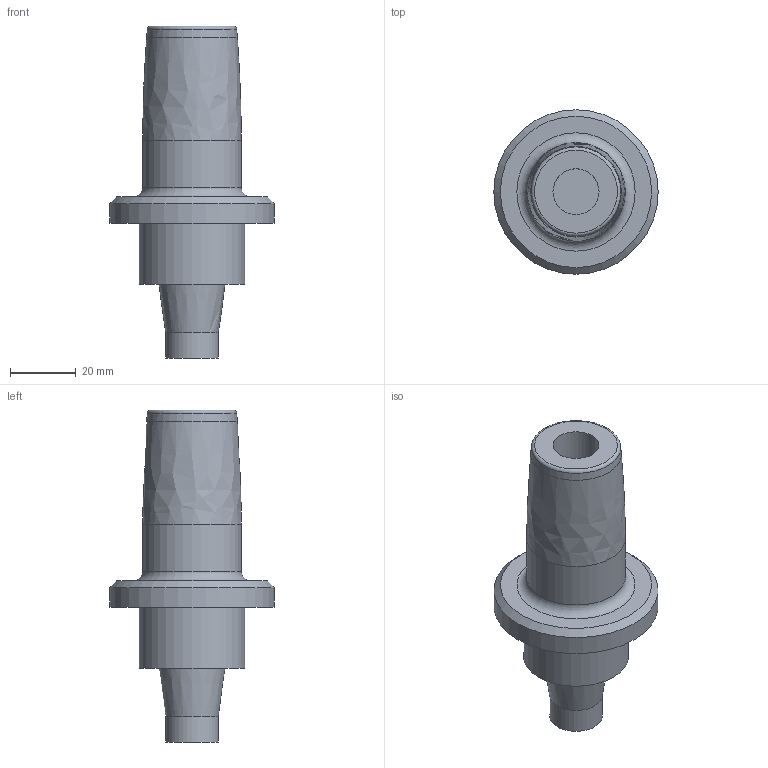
import cadquery as cq
import math

overall_height = 101.0
tip_top = 7.8
body_bottom = 22.5
flange_bottom = 41.0
flange_top = 49.0
barrel_top = 66.3
crown_bottom = 97.6

tip_radius = 16.0 / 2
neck_radius = 20.0 / 2
body_radius = 32.0 / 2
flange_radius = 50.0 / 2
barrel_radius = 30.0 / 2
crown_radius = 27.6 / 2
bore_radius = 14.0 / 2

flange_chamfer = 2.0
root_fillet = 3.0
rim_fillet = 1.0
neck_bulge = 0.1
bore_depth = overall_height - barrel_top


def crowned_side():
    """Return the midpoint and the end slope (dr per dz) of the arc leaving the barrel tangentially."""
    rise = crown_bottom - barrel_top
    inset = barrel_radius - crown_radius
    arc_radius = (rise**2 + inset**2) / (2 * inset)
    sweep = math.asin(rise / arc_radius)
    middle = (
        barrel_radius - arc_radius * (1 - math.cos(sweep / 2)),
        barrel_top + arc_radius * math.sin(sweep / 2),
    )
    return middle, math.tan(sweep)


def turned_blank():
    """Revolve the half outline of the part about the Z axis."""
    side_middle, side_slope = crowned_side()
    rim_radius = crown_radius - side_slope * (overall_height - crown_bottom)
    neck_middle = ((tip_radius + neck_radius) / 2 + neck_bulge, (tip_top + body_bottom) / 2)
    root_offset = root_fillet * (1 - math.sqrt(0.5))

    outline = (
        cq.Workplane("XZ")
        .moveTo(0, 0)
        .lineTo(tip_radius, 0)
        .lineTo(tip_radius, tip_top)
        .threePointArc(neck_middle, (neck_radius, body_bottom))
        .lineTo(body_radius, body_bottom)
        .lineTo(body_radius, flange_bottom)
        .lineTo(flange_radius, flange_bottom)
        .lineTo(flange_radius, flange_top - flange_chamfer)
        .lineTo(flange_radius - flange_chamfer, flange_top)
        .lineTo(barrel_radius + root_fillet, flange_top)
        .threePointArc(
            (barrel_radius + root_offset, flange_top + root_offset),
            (barrel_radius, flange_top + root_fillet),
        )
        .lineTo(barrel_radius, barrel_top)
        .threePointArc(side_middle, (crown_radius, crown_bottom))
        .lineTo(rim_radius, overall_height)
        .lineTo(0, overall_height)
        .close()
    )
    return outline.revolve(360, (0, 0, 0), (0, 1, 0))


def round_rim(part):
    """Round the outer edge of the top face."""
    return part.faces(">Z").edges().fillet(rim_fillet)


def cut_bore(part):
    """Sink the flat-bottomed bore into the top face."""
    bore = (
        cq.Workplane("XY")
        .workplane(offset=overall_height - bore_depth)
        .circle(bore_radius)
        .extrude(bore_depth)
    )
    return part.cut(bore)


result = cut_bore(round_rim(turned_blank()))